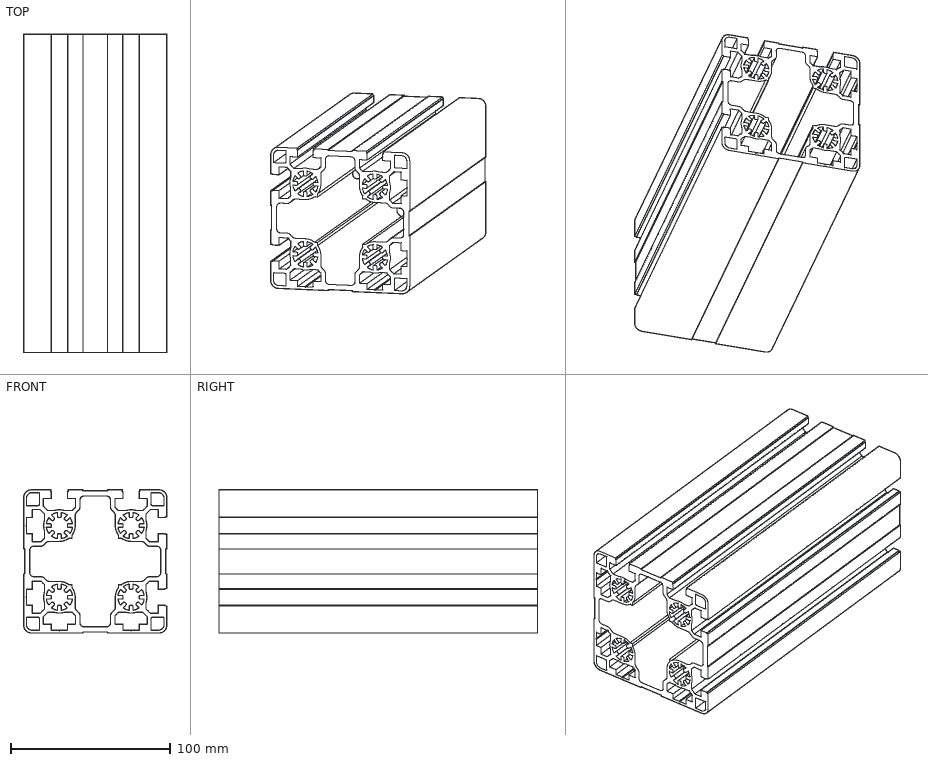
import cadquery as cq
import math

length = 200.0
side = 90.0
half = side / 2
pitch = 45.0
cell = pitch / 2
outer_radius = 5.0

lip_half = 5.0
lip_depth = 5.5
mouth_half = 5.5
mouth_depth = 1.2
slot_half = 10.0
slot_depth = 13.0
outer_chamfer = 2.5
inner_chamfer = 2.0
skin = 1.9
mark_half = 0.5
mark_depth = 0.5

boss_radius = 10.0
nub_half = 8.0
root_radius = 8.2
tip_radius = 5.0
tooth_width = 2.5
tooth_rounding = 0.8
tooth_count = 8

hollow_depth = 4.0
hollow_radius = 2.5
bend_depth = 12.0
bend_radius = 2.8
web = 3.0

chamber_side = 8.0
chamber_radius = 3.5
chamber_small_radius = 0.8

recess_half = 7.8
recess_depth = 0.5


def prism(outline):
    """Extrude a closed XZ outline over the full length, centred on Y = 0."""
    return outline.extrude(length / 2, both=True)


def block(x, z, width, height):
    """Full-length rectangular bar with its section centred on (x, z)."""
    return prism(cq.Workplane("XZ").center(x, z).rect(width, height))


def about_axis(body, quarter_turns):
    """Turn a body about the Y axis."""
    return body.rotate((0, 0, 0), (0, 1, 0), 90 * quarter_turns)


def hollow_quadrant():
    """One quadrant of the central hollow, symmetric about its diagonal."""
    top = half - hollow_depth
    arm = cell - slot_half - web
    flank = cell - boss_radius
    bend_top = half - bend_depth
    bend_bottom = bend_top - (flank - arm)
    setback = bend_radius * math.tan(math.radians(45 / 2))
    diagonal_setback = setback * math.sin(math.radians(45))
    nub = cell - nub_half
    nub_start = cell - math.sqrt(boss_radius**2 - nub_half**2)
    outline = (
        cq.Workplane("XZ")
        .lineTo(0, top)
        .lineTo(arm - hollow_radius, top)
        .radiusArc((arm, top - hollow_radius), hollow_radius)
        .lineTo(arm, bend_top + setback)
        .radiusArc((arm + diagonal_setback, bend_top - diagonal_setback), -bend_radius)
        .lineTo(flank - diagonal_setback, bend_bottom + diagonal_setback)
        .radiusArc((flank, bend_bottom - setback), bend_radius)
        .lineTo(flank, cell)
        .radiusArc((nub, nub_start), -boss_radius)
        .lineTo(nub, nub)
        .lineTo(nub_start, nub)
        .radiusArc((cell, flank), -boss_radius)
        .lineTo(bend_bottom - setback, flank)
        .radiusArc((bend_bottom + diagonal_setback, flank - diagonal_setback), bend_radius)
        .lineTo(bend_top - diagonal_setback, arm + diagonal_setback)
        .radiusArc((bend_top + setback, arm), -bend_radius)
        .lineTo(top - hollow_radius, arm)
        .radiusArc((top, arm - hollow_radius), hollow_radius)
        .lineTo(top, 0)
        .close()
    )
    return prism(outline)


def slot_chamber():
    """Wide inner part of the right-hand slot of the top side."""
    left = cell - slot_half
    right = cell + slot_half
    ceiling = half - lip_depth
    floor = half - slot_depth
    bulge_half = math.sqrt(boss_radius**2 - (floor - cell) ** 2)
    outline = (
        cq.Workplane("XZ")
        .moveTo(left, ceiling)
        .lineTo(right, ceiling)
        .lineTo(right, floor + outer_chamfer)
        .lineTo(right - outer_chamfer, floor)
        .lineTo(cell + bulge_half, floor)
        .radiusArc((cell - bulge_half, floor), -boss_radius)
        .lineTo(left + inner_chamfer, floor)
        .lineTo(left, floor + inner_chamfer)
        .close()
    )
    return prism(outline)


def open_slot():
    """Slot whose lips open outward through a slightly wider mouth."""
    neck = block(cell, half - lip_depth / 2, 2 * lip_half, lip_depth)
    mouth = block(cell, half - mouth_depth / 2, 2 * mouth_half, mouth_depth)
    return slot_chamber().union(neck).union(mouth)


def closed_slot():
    """Slot covered by a thin skin that carries a small V-shaped inner groove."""
    cover = half - skin
    outline = (
        cq.Workplane("XZ")
        .moveTo(cell - lip_half, half - lip_depth)
        .lineTo(cell - lip_half, cover)
        .lineTo(cell - mark_half, cover)
        .lineTo(cell, cover + mark_depth)
        .lineTo(cell + mark_half, cover)
        .lineTo(cell + lip_half, cover)
        .lineTo(cell + lip_half, half - lip_depth)
        .close()
    )
    return slot_chamber().union(prism(outline))


def screw_channel():
    """Round channel with inward teeth."""
    channel = prism(cq.Workplane("XZ").circle(root_radius))
    tooth_length = boss_radius - tip_radius
    tooth = block(tip_radius + tooth_length / 2, 0, tooth_length, tooth_width)
    tooth = tooth.edges("|Y and <X").fillet(tooth_rounding)
    for index in range(tooth_count):
        turns = 4 * index / tooth_count
        channel = channel.cut(about_axis(tooth, turns))
    return channel.translate((cell, 0, cell))


def corner_chamber():
    """Square chamber behind the rounded outer corner."""
    middle = half - skin - chamber_side / 2
    return (
        block(middle, middle, chamber_side, chamber_side)
        .edges("|Y and >X and >Z")
        .fillet(chamber_radius)
        .edges("|Y and <X and <Z")
        .fillet(chamber_small_radius)
    )


def side_recess():
    """Shallow step along the middle of the top side."""
    return block(0, half - recess_depth / 2, 2 * recess_half, recess_depth)


result = cq.Workplane("XY").box(side, length, side).edges("|Y").fillet(outer_radius)

for shared in (hollow_quadrant(), screw_channel(), corner_chamber(), side_recess()):
    for turn in range(4):
        result = result.cut(about_axis(shared, turn))

slots = (open_slot(), open_slot(), closed_slot(), closed_slot())
for turn, slot in enumerate(slots):
    for slot_copy in (slot, slot.mirror("YZ")):
        result = result.cut(about_axis(slot_copy, turn))